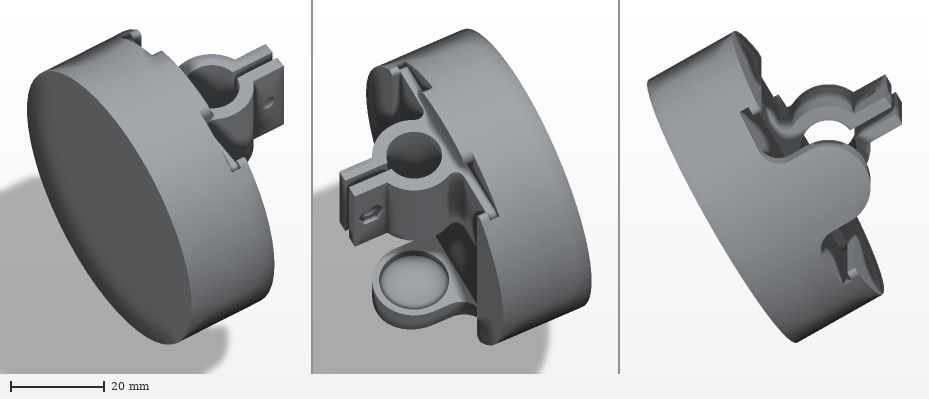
import cadquery as cq
import math

case_radius = 32.5
cap_depth = 10.0
floor_y = 17.0

groove_half_width = 22.2
lip_half_width = 20.0
lip_y = 19.3
rail_y = 21.25
lip_half_length = 24.45
lip_inner_radius = 0.85
lip_outer_radius = 1.3

stop_half_width = 10.0
stop_bottom_z = 28.8
stop_y = 19.5
stop_corner_radius = 2.0

tube_y = 26.25
bore_radius = 6.0
clamp_radius = 9.05
clamp_top_z = 23.7
clamp_height = 19.95
clamp_bottom_z = clamp_top_z - clamp_height
clamp_root_radius = 2.0
ear_end_y = 42.45
ear_outer_width = 7.2
ear_gap = 1.8

plate_half_width = 21.85
plate_front_y = 17.15
plate_rear_y = 19.2
plate_corner_radius = 2.0

screw_y = 38.4
screw_z = clamp_bottom_z + clamp_height / 2
screw_diameter = 3.4
nut_across_flats = 5.65
nut_depth = 1.05

tongue_top_z = -25.95
tongue_root_radius = 4.9
seat_radius = 7.55
seat_depth = 2.0


def cylinder_along_y(radius, start_y, end_y):
    """Solid cylinder on the Y axis between two Y positions."""
    return cq.Workplane("XZ", origin=(0, start_y, 0)).circle(radius).extrude(start_y - end_y)


def box_between(x_range, y_range, z_range):
    """Box from its low and high limits along each axis."""
    (x0, x1), (y0, y1), (z0, z1) = x_range, y_range, z_range
    return cq.Workplane("XY").box(x1 - x0, y1 - y0, z1 - z0, centered=False).translate((x0, y0, z0))


def make_cap():
    return cylinder_along_y(case_radius, 0, cap_depth)


def make_rail(side):
    """Rail on one side (-1 or +1): a groove wall and the wider lip over it."""

    def segment(half_width, half_length, start_y, end_y):
        x_range = sorted((side * half_width, side * case_radius))
        limits = box_between(x_range, (start_y, end_y), (-half_length, half_length))
        return cylinder_along_y(case_radius, start_y, end_y).intersect(limits)

    wall = segment(groove_half_width, case_radius, floor_y, lip_y)
    lip = segment(lip_half_width, lip_half_length, lip_y, rail_y)
    inner_face = "<X" if side > 0 else ">X"
    outer_edges = f"|Y and (not {inner_face})"
    lip = lip.edges(outer_edges).edges("<Z or >Z").fillet(lip_outer_radius)
    lip = lip.faces(inner_face).edges("|Y").fillet(lip_inner_radius)
    return wall.union(lip)


def make_stop():
    """Block at the top of the rear face, following the round of the case."""
    block = box_between(
        (-stop_half_width, stop_half_width), (floor_y, stop_y), (stop_bottom_z, case_radius)
    )
    block = block.intersect(cylinder_along_y(case_radius, floor_y, stop_y))
    return block.edges("|Y and (not <Z)").fillet(stop_corner_radius)


def make_tongue():
    """Round-ended tongue with flared root, trimmed by the round of the case."""
    tip_y = tube_y + clamp_radius
    root_half_width = clamp_radius + tongue_root_radius
    flare_end_y = floor_y + tongue_root_radius
    flare_mid_x = root_half_width - tongue_root_radius * math.sqrt(0.5)
    flare_mid_y = flare_end_y - tongue_root_radius * math.sqrt(0.5)
    tongue = (
        cq.Workplane("XY", origin=(0, 0, -case_radius))
        .moveTo(-root_half_width, floor_y)
        .threePointArc((-flare_mid_x, flare_mid_y), (-clamp_radius, flare_end_y))
        .lineTo(-clamp_radius, tube_y)
        .threePointArc((0, tip_y), (clamp_radius, tube_y))
        .lineTo(clamp_radius, flare_end_y)
        .threePointArc((flare_mid_x, flare_mid_y), (root_half_width, floor_y))
        .close()
        .extrude(case_radius + tongue_top_z)
        .intersect(cylinder_along_y(case_radius, floor_y, tip_y))
    )
    seat = (
        cq.Workplane("XY", origin=(0, tube_y, tongue_top_z))
        .circle(seat_radius)
        .extrude(-seat_depth)
    )
    return tongue.cut(seat)


def make_housing():
    housing = cylinder_along_y(case_radius, cap_depth, floor_y)
    for side in (-1, 1):
        housing = housing.union(make_rail(side))
    return housing.union(make_stop()).union(make_tongue())


def make_plate():
    plate = box_between(
        (-plate_half_width, plate_half_width),
        (plate_front_y, plate_rear_y),
        (clamp_bottom_z, clamp_top_z),
    )
    return plate.edges("|Y").fillet(plate_corner_radius)


def make_clamp_root():
    """Foot of the clamp ring, blended into the plate by a concave arc on each side."""
    arc_y = plate_rear_y + clamp_root_radius
    drop = tube_y - arc_y
    reach = clamp_radius + clamp_root_radius
    arc_x = math.sqrt(reach**2 - drop**2)
    ring_share = clamp_radius / reach
    ring_x = arc_x * ring_share
    ring_y = tube_y - drop * ring_share
    mid_angle = (math.atan2(drop, arc_x) - math.pi / 2) / 2
    mid_x = arc_x - clamp_root_radius * math.cos(mid_angle)
    mid_y = arc_y + clamp_root_radius * math.sin(mid_angle)
    return (
        cq.Workplane("XY", origin=(0, 0, clamp_bottom_z))
        .moveTo(-arc_x, plate_rear_y)
        .threePointArc((-mid_x, mid_y), (-ring_x, ring_y))
        .lineTo(ring_x, ring_y)
        .threePointArc((mid_x, mid_y), (arc_x, plate_rear_y))
        .close()
        .extrude(clamp_height)
    )


def make_clamp():
    z_range = (clamp_bottom_z, clamp_top_z)
    ring_base = cq.Workplane("XY", origin=(0, tube_y, clamp_bottom_z))
    above_plate = box_between((-clamp_radius, clamp_radius), (plate_rear_y, ear_end_y), z_range)
    ring = ring_base.circle(clamp_radius).extrude(clamp_height).intersect(above_plate)
    ears = box_between((-ear_outer_width / 2, ear_outer_width / 2), (tube_y, ear_end_y), z_range)
    gap = box_between((-ear_gap / 2, ear_gap / 2), (tube_y, ear_end_y), z_range)
    bore = ring_base.circle(bore_radius).extrude(clamp_height)
    screw_start = cq.Workplane("YZ", origin=(-ear_outer_width / 2, screw_y, screw_z))
    screw_hole = screw_start.circle(screw_diameter / 2).extrude(ear_outer_width)
    nut_across_corners = nut_across_flats / math.cos(math.pi / 6)
    nut_pocket = screw_start.polygon(6, nut_across_corners).extrude(nut_depth)
    clamp = make_plate().union(make_clamp_root()).union(ring).union(ears)
    return clamp.cut(gap).cut(bore).cut(screw_hole).cut(nut_pocket)


cap = make_cap()
housing = make_housing()
clamp = make_clamp()

result = cq.Compound.makeCompound([cap.val(), housing.val(), clamp.val()])